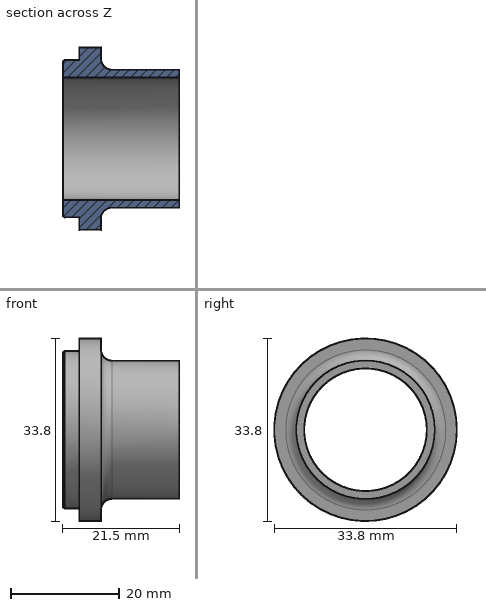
import cadquery as cq

total_length = 21.5
spigot_length = 3.0
flange_thickness = 4.05

flange_diameter = 33.8
spigot_diameter = 29.2
tube_diameter = 25.6
bore_diameter = 22.6

spigot_chamfer = 0.3
fillet_radius = 2.0


def cylinder_along_x(start, length, diameter):
    """Solid cylinder on the X axis, growing toward +X from start."""
    return cq.Workplane("YZ", origin=(start, 0, 0)).circle(diameter / 2).extrude(length)


spigot = cylinder_along_x(0, spigot_length, spigot_diameter).faces("<X").chamfer(spigot_chamfer)

flange_back = spigot_length + flange_thickness
flange = cylinder_along_x(spigot_length, flange_thickness, flange_diameter)
tube = cylinder_along_x(flange_back, total_length - flange_back, tube_diameter)
root_edge = cq.selectors.RadiusNthSelector(0)
flanged_tube = flange.union(tube).faces(">X[1]").edges(root_edge).fillet(fillet_radius)

bore = cylinder_along_x(0, total_length, bore_diameter)

result = spigot.union(flanged_tube).cut(bore)